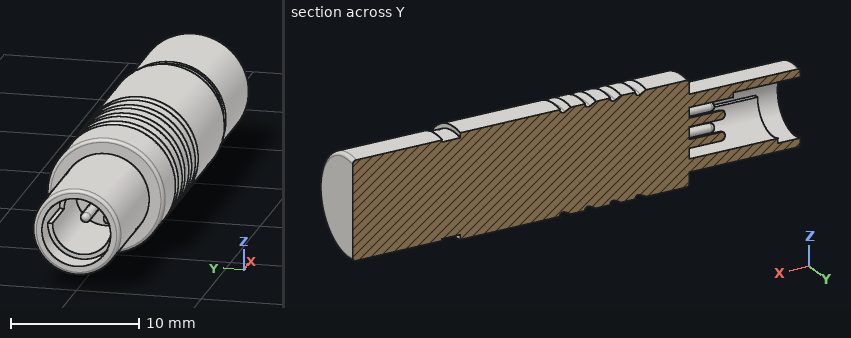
import cadquery as cq

total_length = 40.0
sleeve_start = 9.9
sleeve_end = 30.4
tail_start = 32.0

nozzle_radius = 7.0 / 2
sleeve_radius = 9.4 / 2
neck_radius = 8.55 / 2
tail_radius = 8.9 / 2

nozzle_rounding = 0.3
sleeve_rounding = 0.3
tail_rounding = 0.3

groove_count = 4
groove_pitch = 2.25
first_groove_start = 13.8
groove_length = 0.95
groove_entry_length = 0.5
groove_entry_depth = 0.3

mouth_radius = 5.5 / 2
mouth_depth = 6.0
socket_radius = 4.75 / 2
socket_depth = sleeve_start

shell_start = 2.0

pin_radius = 0.4
pin_spacing = 1.85
pin_length = 3.2


def cylinder(start, end, radius):
    """Solid cylinder on the X axis between two stations."""
    return cq.Workplane("YZ", origin=(start, 0, 0)).circle(radius).extrude(end - start)


def make_nozzle():
    """Slim front barrel with a rounded rim."""
    return cylinder(0, sleeve_start, nozzle_radius).faces("<X").edges().fillet(nozzle_rounding)


def make_groove(start):
    """Ring cutter for one grip groove."""
    end = start + groove_length
    return (
        cq.Workplane("XY")
        .moveTo(start, sleeve_radius)
        .lineTo(start + groove_entry_length, sleeve_radius - groove_entry_depth)
        .tangentArcPoint((end, sleeve_radius), relative=False)
        .close()
        .revolve(360, (0, 0, 0), (1, 0, 0))
    )


def make_sleeve():
    """Thick middle section with the grip grooves."""
    sleeve = cylinder(sleeve_start, sleeve_end, sleeve_radius)
    sleeve = sleeve.faces("<X").edges().fillet(sleeve_rounding)
    for index in range(groove_count):
        sleeve = sleeve.cut(make_groove(first_groove_start + index * groove_pitch))
    return sleeve


def make_tail():
    """Narrow neck followed by the rear barrel."""
    neck = cylinder(sleeve_end, tail_start, neck_radius)
    tail = cylinder(tail_start, total_length, tail_radius)
    return neck.union(tail.faces(">X").edges().fillet(tail_rounding))


def make_socket():
    """Cutter for the wide mouth and the narrower socket behind it."""
    return cylinder(0, mouth_depth, mouth_radius).union(cylinder(0, socket_depth, socket_radius))


def make_half_shell():
    """Lower half of a ring that continues the narrow socket forward into the mouth."""
    return (
        cq.Workplane("YZ", origin=(shell_start, 0, 0))
        .moveTo(-mouth_radius, 0)
        .threePointArc((0, -mouth_radius), (mouth_radius, 0))
        .lineTo(socket_radius, 0)
        .threePointArc((0, -socket_radius), (-socket_radius, 0))
        .close()
        .extrude(mouth_depth - shell_start)
    )


def make_pins():
    """Four round pins in a square, each with a domed tip."""
    dome_center = socket_depth - pin_length + pin_radius
    pins = (
        cq.Workplane("YZ", origin=(dome_center, 0, 0))
        .rect(pin_spacing, pin_spacing, forConstruction=True)
        .vertices()
    )
    shafts = pins.circle(pin_radius).extrude(socket_depth - dome_center)
    domes = pins.sphere(pin_radius)
    return shafts.union(domes)


body = make_nozzle().union(make_sleeve()).union(make_tail())
result = body.cut(make_socket()).union(make_half_shell()).union(make_pins())